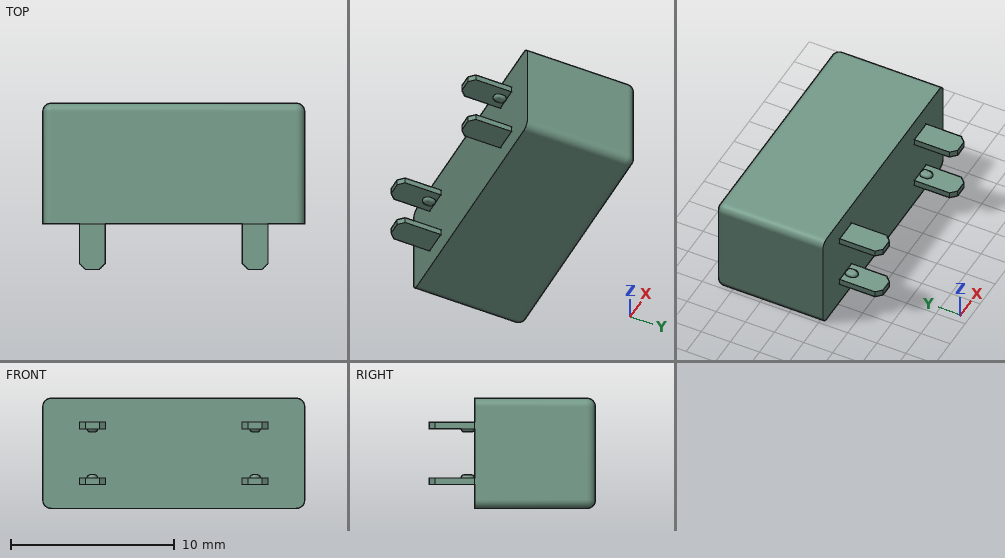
import cadquery as cq

CENTRED_XZ = (True, False, True)

HOUSING_LENGTH = 16.0
HOUSING_DEPTH = 7.38
HOUSING_HEIGHT = 6.74
EDGE_RADIUS = 0.51

TERMINAL_PITCH = 9.94
LEG_PITCH = 3.4
STRIP_WIDTH = 1.58
STRIP_THICKNESS = 0.42
LEG_LENGTH = 2.78
TIP_CHAMFER = 0.37
EMBEDDED_DEPTH = 2.0

BUMP_LENGTH = 0.83
BUMP_WIDTH = 0.64
BUMP_HEIGHT = 0.2
BUMP_ROOT_DEPTH = STRIP_THICKNESS / 2


def make_bump():
    """One oblong bump rising from Z = 0, rooted below it, with one end touching Y = 0."""
    root_plane = cq.Workplane("XY").workplane(offset=-BUMP_ROOT_DEPTH)
    bump = root_plane.slot2D(BUMP_LENGTH, BUMP_WIDTH, angle=90).extrude(BUMP_ROOT_DEPTH + BUMP_HEIGHT)
    bump = bump.faces(">Z").edges().fillet(BUMP_HEIGHT)
    return bump.translate((0, -BUMP_LENGTH / 2, 0))


def make_terminal(x_centre):
    """One U-shaped strip with a chamfered tip and an inner bump on each leg."""
    outer_height = LEG_PITCH + STRIP_THICKNESS
    inner_height = LEG_PITCH - STRIP_THICKNESS
    total_length = LEG_LENGTH + EMBEDDED_DEPTH
    gap_length = total_length - STRIP_THICKNESS

    strip = cq.Workplane("XY").box(STRIP_WIDTH, total_length, outer_height, centered=CENTRED_XZ)
    gap = cq.Workplane("XY").box(STRIP_WIDTH, gap_length, inner_height, centered=CENTRED_XZ)
    strip = strip.cut(gap).translate((0, -LEG_LENGTH, 0))
    strip = strip.faces("<Y").edges("|Z").chamfer(TIP_CHAMFER)

    lower_bump = make_bump().translate((0, 0, -inner_height / 2))
    upper_bump = lower_bump.mirror("XY")
    strip = strip.union(lower_bump).union(upper_bump)
    return strip.translate((x_centre, 0, 0))


def make_housing(terminals):
    """Block rounded everywhere except around its -Y face, with a fitting recess for each terminal."""
    block = cq.Workplane("XY").box(HOUSING_LENGTH, HOUSING_DEPTH, HOUSING_HEIGHT, centered=CENTRED_XZ)
    block = block.edges("|Y or >Y").fillet(EDGE_RADIUS)
    for terminal in terminals:
        block = block.cut(terminal)
    return block


terminals = [make_terminal(side * TERMINAL_PITCH / 2) for side in (-1, 1)]
housing = make_housing(terminals)

result = cq.Compound.makeCompound([housing.val(), *[terminal.val() for terminal in terminals]])